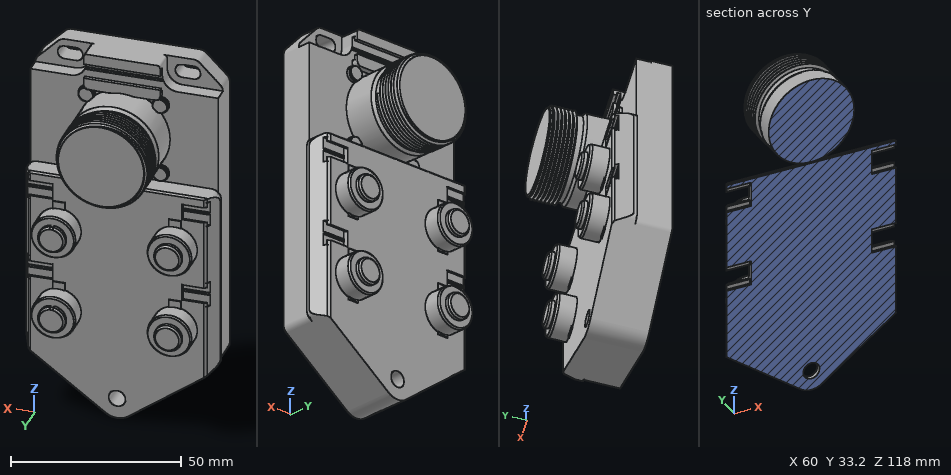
import cadquery as cq
import math

height = 118.0
body_half_width = 29.0
cover_half_width = 30.0
top_corner_cut = 8.0
top_corner_radius = 3.0
nose_angle = 36.0
nose_radius = 6.1
side_corner_radius = 2.5

ear_thickness = 6.5
body_depth = 11.1
cover_depth = 17.9

cover_top = 78.1
cover_corner_radius = 3.1
wing_rim = 1.1
shoulder_half_width = 27.6
crown_half_width = 26.8
shoulder_drop = 0.6
top_bevel_height = 0.4
top_bevel_depth = 1.0

slot_length = 7.8
slot_width = 4.2
slot_offset = 18.2
slot_height = 113.5
nose_hole_diameter = 5.2
nose_hole_height = 6.6

holder_half_width = 11.8
holder_bottom = 106.2
holder_depth = 13.3
holder_corner_radius = 1.0
holder_bottom_radius = 1.4
ear_level = 109.0
ear_root_radius = 4.7

lip_overhang = 1.4
ridge_width = 0.7
ridge_height = 0.4
holder_channel_bottom = 108.5
holder_channel_top = 116.0
holder_lip_thickness = 1.2
cover_channel_size = 7.9
cover_channel_floor = 16.2
cover_lip_thickness = 0.7
cover_channel_wall = 20.0
channel_above_socket = 8.1

connector_height = 92.5
connector_end = 33.2
barrel_radius = 14.2
barrel_end = 22.8
neck_radius = 13.2
thread_start = 24.5
thread_radius = 14.3
thread_pitch = 1.2
thread_base_width = 1.1
thread_crest_width = 0.1
thread_embed = 0.1
thread_tip_chamfer = 1.2

screw_offset = 11.5
screw_head_radius = 2.2
screw_head_end = 12.6
washer_radius = 2.5
washer_end = 12.0

socket_offset = 17.9
lower_socket_height = 33.6
socket_pitch = 27.0
socket_radius = 6.8
socket_end = 24.0
socket_edge_height = 0.7
socket_edge_width = 0.4
core_radius = 4.2
core_end = 25.6
core_chamfer = 0.6
key_width = 1.1
key_depth = 0.6
pad_half_width = 1.9
pad_length = 16.5
pad_shift = 0.8
pad_height = 0.4

pick_margin = 0.1
overlap = 1.2


def front_plane(y):
    """Sketch plane at depth y, with local axes along X and Z."""
    return cq.Workplane("XZ", origin=(0, y, 0))


def plate(points, start, end):
    """Prism of a closed XZ outline between two depths."""
    return front_plane(start).polyline(points).close().extrude(start - end)


def block(x_range, y_range, z_range):
    """Axis-aligned box from its limits."""
    size = [high - low for low, high in (x_range, y_range, z_range)]
    return cq.Workplane("XY").box(*size, centered=False).translate((x_range[0], y_range[0], z_range[0]))


def disc(x, z, radius, start, end):
    """Cylinder along Y."""
    return front_plane(start).center(x, z).circle(radius).extrude(start - end)


def round_corners(solid, corners, radius):
    """Fillet the edges along Y that pass through the given XZ corners."""
    for x, z in corners:
        low = (x - pick_margin, -height, z - pick_margin)
        high = (x + pick_margin, height, z + pick_margin)
        picker = cq.selectors.BoxSelector(low, high)
        solid = solid.edges("|Y").edges(picker).fillet(radius)
    return solid


nose_slope = math.tan(math.radians(nose_angle))
apex = -nose_radius * (1 / math.cos(math.radians(nose_angle)) - 1)


def side_corner(half_width):
    """Height at which a side of this half width meets the nose slant."""
    return apex + half_width * nose_slope


def make_body():
    """Flat-backed housing with cut upper corners and a pointed lower end."""
    top_half_width = body_half_width - top_corner_cut
    corner_level = height - top_corner_cut
    side_level = side_corner(body_half_width)
    right = [(body_half_width, side_level), (body_half_width, corner_level), (top_half_width, height)]
    left = [(-x, z) for x, z in reversed(right)]
    body = plate([(0, apex)] + right + left, 0, body_depth)
    top_corners = right[1:] + left[:2]
    body = round_corners(body, top_corners, top_corner_radius)
    body = round_corners(body, [right[0], left[2]], side_corner_radius)
    return round_corners(body, [(0, apex)], nose_radius)


def make_cover():
    """Raised front cover, wider than the body and sharing its nose."""
    side_level = side_corner(cover_half_width)
    right = [(cover_half_width, side_level), (cover_half_width, cover_top)]
    left = [(-x, z) for x, z in reversed(right)]
    cover = plate([(0, apex)] + right + left, body_depth, cover_depth)
    cover = round_corners(cover, [right[1], left[0]], cover_corner_radius)
    cover = round_corners(cover, [right[0], left[1]], side_corner_radius)
    cover = round_corners(cover, [(0, apex)], nose_radius)

    half = [
        (cover_half_width, body_depth),
        (cover_half_width, body_depth + wing_rim),
        (shoulder_half_width, cover_depth - shoulder_drop),
        (crown_half_width, cover_depth),
    ]
    section = half + [(-x, y) for x, y in reversed(half)]
    cover = cover.intersect(cq.Workplane("XY").polyline(section).close().extrude(height))

    bevel = [
        (cover_depth, cover_top - top_bevel_height),
        (cover_depth, cover_top),
        (cover_depth - top_bevel_depth, cover_top),
    ]
    cutter = cq.Workplane("YZ").polyline(bevel).close().extrude(cover_half_width, both=True)
    return cover.cut(cutter)


def ear_recess(side):
    """Space in front of a mounting ear, bounded by the holder side and its concave root."""
    root_x = holder_half_width + ear_root_radius
    bend = math.sqrt(0.5)
    holder_arc_x = holder_half_width - holder_corner_radius * (1 - bend)
    holder_arc_z = height - holder_corner_radius * (1 - bend)
    root_arc_x = root_x - ear_root_radius * bend
    root_arc_z = ear_level + ear_root_radius * (1 - bend)
    outside = cover_half_width + overlap
    above = height + overlap
    return (
        front_plane(ear_thickness)
        .moveTo(side * (holder_half_width - holder_corner_radius), height)
        .threePointArc(
            (side * holder_arc_x, holder_arc_z),
            (side * holder_half_width, height - holder_corner_radius),
        )
        .lineTo(side * holder_half_width, ear_level + ear_root_radius)
        .threePointArc((side * root_arc_x, root_arc_z), (side * root_x, ear_level))
        .lineTo(side * outside, ear_level)
        .lineTo(side * outside, above)
        .lineTo(side * (holder_half_width - holder_corner_radius), above)
        .close()
        .extrude(ear_thickness - holder_depth - overlap)
    )


def label_channel(x_range, z_range, floor, front, lip_thickness):
    """Cutter for an undercut label groove along X."""
    bottom, top = z_range
    middle = (bottom + top) / 2
    groove = block(x_range, (floor, front - lip_thickness), z_range)
    mouth = block(x_range, (floor, front + overlap), (bottom + lip_overhang, top - lip_overhang))
    ridge_z = (middle - ridge_width / 2, middle + ridge_width / 2)
    ridge = block(x_range, (floor, floor + ridge_height), ridge_z)
    return groove.union(mouth).cut(ridge)


def make_holder():
    """Block for the upper label, in front of the body."""
    holder = block(
        (-holder_half_width, holder_half_width),
        (body_depth - overlap, holder_depth),
        (holder_bottom, height),
    )
    return holder.edges("|Y and <Z").fillet(holder_bottom_radius)


def make_thread():
    """Helical ridge along Y, running one turn past the connector end."""
    length = connector_end - thread_start + thread_pitch
    root = neck_radius - thread_embed
    helix = cq.Wire.makeHelix(thread_pitch, length, root)
    ridge = [
        (root, -thread_base_width / 2),
        (thread_radius, -thread_crest_width / 2),
        (thread_radius, thread_crest_width / 2),
        (root, thread_base_width / 2),
    ]
    thread = cq.Workplane("XZ").polyline(ridge).close().sweep(cq.Workplane(helix), isFrenet=True)
    return thread.rotate((0, 0, 0), (1, 0, 0), -90).translate((0, thread_start, 0))


def make_connector():
    """Barrel, neck and threaded end, pointing along +Y."""
    base = body_depth - overlap
    blank_end = connector_end + 3 * thread_pitch
    profile = [
        (0, base),
        (barrel_radius, base),
        (barrel_radius, barrel_end - (barrel_radius - neck_radius)),
        (neck_radius, barrel_end),
        (neck_radius, blank_end),
        (0, blank_end),
    ]
    blank = cq.Workplane("XY").polyline(profile).close().revolve(360, (0, 0, 0), (0, 1, 0))
    envelope = disc(0, 0, neck_radius + thread_tip_chamfer, base, connector_end)
    envelope = envelope.faces(">Y").chamfer(thread_tip_chamfer)
    connector = blank.union(make_thread()).intersect(envelope)
    return connector.translate((0, 0, connector_height))


def make_socket(x, z):
    """Stepped socket on its raised pad; those on the +X side have a key notch in the core."""
    sleeve = disc(x, z, socket_radius, cover_depth - overlap, socket_end)
    sleeve = sleeve.faces(">Y").chamfer(socket_edge_height, socket_edge_width)
    core = disc(x, z, core_radius, socket_end - overlap, core_end).faces(">Y").chamfer(core_chamfer)
    if x > 0:
        key = block(
            (x - key_width / 2, x + key_width / 2),
            (socket_end, core_end),
            (z + core_radius - key_depth, z + core_radius),
        )
        core = core.cut(key)
    pad_z = z + pad_shift
    pad = block(
        (x - pad_half_width, x + pad_half_width),
        (cover_depth - overlap, cover_depth + pad_height),
        (pad_z - pad_length / 2, pad_z + pad_length / 2),
    )
    return sleeve.union(core).union(pad)


result = make_body().union(make_cover()).union(make_holder())

for side in (-1, 1):
    result = result.cut(ear_recess(side))
    slot = front_plane(0).center(side * slot_offset, slot_height).slot2D(slot_length, slot_width)
    result = result.cut(slot.extrude(-body_depth))

result = result.cut(disc(0, nose_hole_height, nose_hole_diameter / 2, 0, cover_depth))

result = result.cut(
    label_channel(
        (-holder_half_width, holder_half_width),
        (holder_channel_bottom, holder_channel_top),
        body_depth,
        holder_depth,
        holder_lip_thickness,
    )
)

for socket_z in (lower_socket_height, lower_socket_height + socket_pitch):
    channel_bottom = socket_z + channel_above_socket
    channel_z = (channel_bottom, channel_bottom + cover_channel_size)
    for side in (-1, 1):
        channel_x = sorted((side * cover_channel_wall, side * cover_half_width))
        channel = label_channel(channel_x, channel_z, cover_channel_floor, cover_depth, cover_lip_thickness)
        result = result.cut(channel).union(make_socket(side * socket_offset, socket_z))

for x in (-screw_offset, screw_offset):
    for z in (connector_height - screw_offset, connector_height + screw_offset):
        result = result.union(disc(x, z, washer_radius, body_depth - overlap, washer_end))
        result = result.union(disc(x, z, screw_head_radius, body_depth - overlap, screw_head_end))

result = result.union(make_connector())